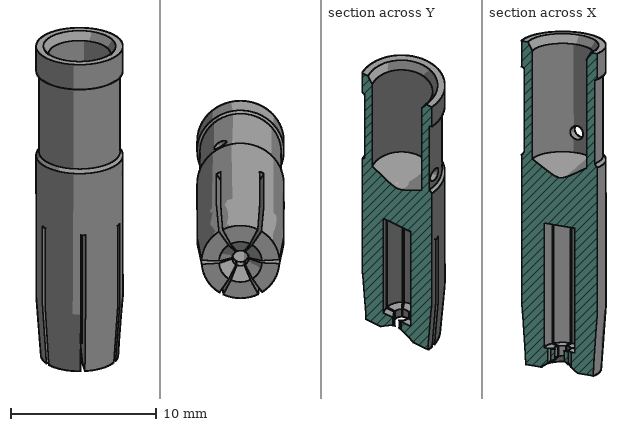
import cadquery as cq
import math

length = 23.5
body_radius = 2.996
neck_radius = 2.8
tip_radius = 2.68
taper_height = 4.5
shoulder_bottom = 15.2
shoulder_top = 15.46
collar_height = 1.88
collar_chamfer_height = 0.12

cup_radius = 2.15
cup_depth = 8.45
cup_mouth_radius = 2.5
cup_mouth_depth = 0.59
drill_point_angle = 118.0

inspection_radius = 0.5
inspection_height = 16.5

socket_radius = 1.25
throat_radius = 0.56
throat_bottom = 0.73
throat_top = 1.48
mouth_radius = 1.48
slot_count = 6
slot_width = 0.33
slot_height = 10.5
socket_depth = slot_height


def make_body():
    """Revolve the outer profile around Z."""
    collar_bottom = length - collar_height
    return (
        cq.Workplane("XZ")
        .moveTo(0, 0)
        .lineTo(tip_radius, 0)
        .lineTo(body_radius, taper_height)
        .lineTo(body_radius, shoulder_bottom)
        .lineTo(neck_radius, shoulder_top)
        .lineTo(neck_radius, collar_bottom - collar_chamfer_height)
        .lineTo(body_radius, collar_bottom)
        .lineTo(body_radius, length)
        .lineTo(0, length)
        .close()
        .revolve(360, (0, 0), (0, 1))
    )


def make_wire_cup():
    """Revolve the cup cavity with its conical floor and flared mouth."""
    floor = length - cup_depth
    point_depth = cup_radius / math.tan(math.radians(drill_point_angle / 2))
    return (
        cq.Workplane("XZ")
        .moveTo(0, floor - point_depth)
        .lineTo(cup_radius, floor)
        .lineTo(cup_radius, length - cup_mouth_depth)
        .lineTo(cup_mouth_radius, length)
        .lineTo(0, length)
        .close()
        .revolve(360, (0, 0), (0, 1))
    )


def make_inspection_hole():
    """Cylinder running from the axis out through the -X wall."""
    return (
        cq.Workplane("YZ")
        .center(0, inspection_height)
        .circle(inspection_radius)
        .extrude(-body_radius)
    )


def make_socket():
    """Revolve the socket cavity: flared mouth, throat, then a wider bore."""
    return (
        cq.Workplane("XZ")
        .moveTo(0, 0)
        .lineTo(mouth_radius, 0)
        .lineTo(throat_radius, throat_bottom)
        .lineTo(throat_radius, throat_top)
        .lineTo(socket_radius, throat_top)
        .lineTo(socket_radius, socket_depth)
        .lineTo(0, socket_depth)
        .close()
        .revolve(360, (0, 0), (0, 1))
    )


def make_slot(angle):
    """Wedge-shaped slot with radial walls, open at the bottom end."""
    half_width = slot_width / 2
    return (
        cq.Workplane("XY")
        .polyline([(0, 0), (body_radius, -half_width), (body_radius, half_width)])
        .close()
        .extrude(slot_height)
        .rotate((0, 0, 0), (0, 0, 1), angle)
    )


result = make_body().cut(make_wire_cup()).cut(make_inspection_hole()).cut(make_socket())
for index in range(slot_count):
    result = result.cut(make_slot(index * 360 / slot_count))